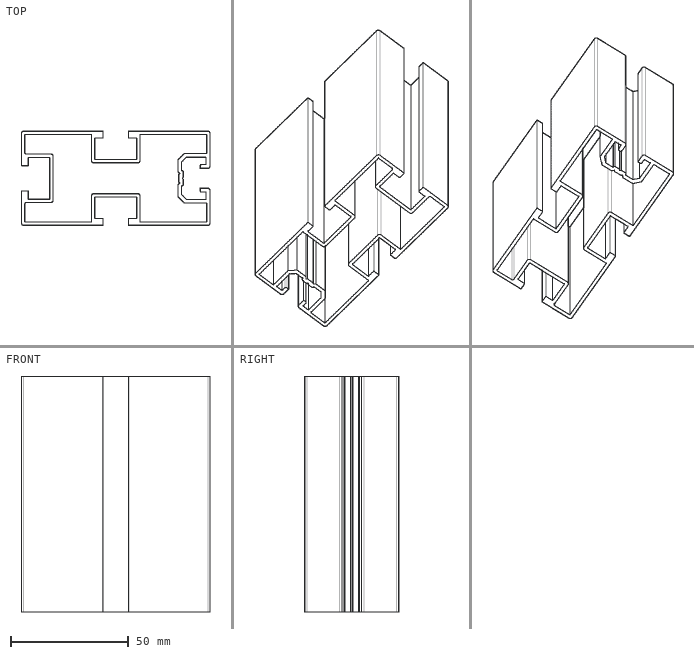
import cadquery as cq

size_x = 80.0
size_y = 40.0
length = 100.0
wall = 1.5
corner_radius = 1.0

slot_mouth_width = 10.6
slot_lip_thickness = 3.0
slot_lip_edge_radius = 0.3
slot_cavity_width = 17.6
slot_cavity_depth = 12.0
slot_wall = 1.5
slot_corner_radius = 1.0
slot_root_radius = 0.6

channel_mouth_width = 8.4
channel_mouth_radius = 1.0
channel_lip_length = 4.2
channel_lip_thickness = 1.7
channel_lip_tip_radius = 0.6
channel_cavity_width = 17.8
channel_cavity_start = 1.8
channel_cavity_depth = 12.1
channel_cavity_chamfer = 2.0
channel_wall = 1.6
channel_housing_chamfer = 2.7

rib_width = 6.4
rib_height = 0.8
rib_flank_chamfer = 0.4
rib_groove_depth = 0.5
back_recess_depth = 0.4
back_groove_depth = 0.8
back_groove_spacing = 4.0


def bar(depth_start, depth_end, width):
    """Full-length bar spanning two depths below a side face lying on the YZ plane."""
    return (
        cq.Workplane("XY")
        .box(depth_end - depth_start, width, length, centered=(False, True, False))
        .translate((-depth_end, 0, 0))
    )


def v_groove(tip_depth, groove_depth, opening_direction, offset=0.0):
    """Full-length 90 degree V cutter with its tip at a depth; direction +1 opens toward +X."""
    tip_x = -tip_depth
    opening_x = tip_x + opening_direction * groove_depth
    corners = [
        (tip_x, offset),
        (opening_x, offset + groove_depth),
        (opening_x, offset - groove_depth),
    ]
    return cq.Workplane("XY").polyline(corners).close().extrude(length)


def place(shape, angle, face_distance):
    """Move a shape from the local face at X = 0 to a side of the extrusion."""
    return shape.translate((face_distance, 0, 0)).rotate((0, 0, 0), (0, 0, 1), angle)


def outer_tube():
    outside = cq.Workplane("XY").rect(size_x, size_y).extrude(length)
    outside = outside.edges("|Z").fillet(corner_radius)
    inside = cq.Workplane("XY").rect(size_x - 2 * wall, size_y - 2 * wall).extrude(length)
    return outside.cut(inside)


def t_slot_housing():
    housing = bar(0, slot_cavity_depth + slot_wall, slot_cavity_width + 2 * slot_wall)
    return housing.edges("|Z and <X").fillet(slot_corner_radius)


def t_slot_opening():
    mouth = bar(0, slot_cavity_depth, slot_mouth_width)
    return mouth.union(bar(slot_lip_thickness, slot_cavity_depth, slot_cavity_width))


def channel_housing():
    back = channel_cavity_depth + channel_wall
    housing = bar(0, back, channel_cavity_width + 2 * channel_wall)
    housing = housing.edges("|Z and <X").chamfer(channel_housing_chamfer)
    housing = housing.cut(bar(back - back_recess_depth, back, back_groove_spacing))
    for side in (-1, 1):
        groove_offset = side * back_groove_spacing / 2
        groove = v_groove(back - back_groove_depth, back_groove_depth, -1, groove_offset)
        housing = housing.cut(groove)
    return housing


def channel_opening():
    cavity = bar(channel_cavity_start, channel_cavity_depth, channel_cavity_width)
    cavity = cavity.edges("|Z and <X").chamfer(channel_cavity_chamfer)

    rib_top = channel_cavity_depth - rib_height
    rib = bar(rib_top, channel_cavity_depth, rib_width)
    rib = rib.edges("|Z and >X").chamfer(rib_flank_chamfer)
    rib = rib.cut(v_groove(rib_top + rib_groove_depth, rib_groove_depth, 1))

    lip_width = channel_mouth_width + 2 * channel_lip_thickness
    lips = bar(0, channel_lip_length, lip_width)
    lips = lips.edges("|Z and <X").fillet(channel_lip_tip_radius)
    mouth = bar(0, channel_lip_length, channel_mouth_width)
    return cavity.cut(rib).cut(lips).union(mouth)


def side_edges(shape, x, half_width):
    """Lengthwise edges at the given X, on both sides of the XZ plane."""
    reach = 0.1
    low = cq.selectors.BoxSelector(
        (x - reach, -half_width - reach, 0), (x + reach, -half_width + reach, length)
    )
    high = cq.selectors.BoxSelector(
        (x - reach, half_width - reach, 0), (x + reach, half_width + reach, length)
    )
    return shape.edges("|Z").edges(low + high)


def round_t_slot_lips(shape, angle, face_distance):
    """Round both edges of each lip of one T-slot."""
    local = shape.rotate((0, 0, 0), (0, 0, 1), -angle)
    for depth in (0, slot_lip_thickness):
        lip_edges = side_edges(local, face_distance - depth, slot_mouth_width / 2)
        local = lip_edges.fillet(slot_lip_edge_radius)
    return local.rotate((0, 0, 0), (0, 0, 1), angle)


t_slot_sides = ((90, size_y / 2), (180, size_x / 2), (270, size_y / 2))

profile = outer_tube()
for angle, distance in t_slot_sides:
    profile = profile.union(place(t_slot_housing(), angle, distance))
profile = profile.union(place(channel_housing(), 0, size_x / 2))

for angle, distance in t_slot_sides:
    profile = profile.cut(place(t_slot_opening(), angle, distance))
    profile = round_t_slot_lips(profile, angle, distance)
profile = profile.cut(place(channel_opening(), 0, size_x / 2))

slot_half_width = slot_cavity_width / 2 + slot_wall
profile = side_edges(profile, wall - size_x / 2, slot_half_width).fillet(slot_root_radius)
profile = side_edges(profile, size_x / 2, channel_mouth_width / 2).fillet(channel_mouth_radius)

result = profile